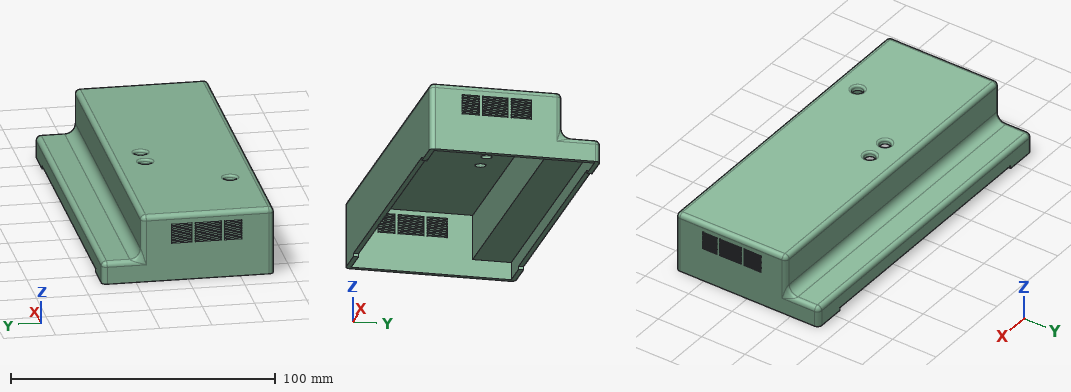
import cadquery as cq

length = 140.1
depth = 66.0
height = 26.5

ledge_depth = 15.0
ledge_height = 8.8
ledge_fillet = 4.0

edge_radius = 2.0
wall = 2.0

relief_width = 112.1
relief_height = 1.3

button_neck_diameter = 4.6
button_exit_diameter = 4.0
button_mouth_radius = 1.0
pair_x = -12.2
pair_spacing = 10.0
pair_y = 5.9
single_x = -34.7
single_y = -22.5
button_centres = [
    (pair_x, pair_y),
    (pair_x + pair_spacing, pair_y),
    (single_x, single_y),
]

slot_rows = 8
slot_height = 0.5
slot_pitch = 1.02
slot_top = height - 3.9
slot_back = 6.3
slot_gap = 1.3
slot_lengths = [7.8, 10.0, 6.6]

front_y = -depth / 2
back_y = depth / 2
step_y = back_y - ledge_depth

tolerance = 0.01


def stepped_block(inset):
    """L-shaped block, shrunk by inset on every side except the underside."""
    return (
        cq.Workplane("YZ")
        .moveTo(front_y + inset, 0)
        .lineTo(back_y - inset, 0)
        .lineTo(back_y - inset, ledge_height - inset)
        .lineTo(step_y - inset, ledge_height - inset)
        .lineTo(step_y - inset, height - inset)
        .lineTo(front_y + inset, height - inset)
        .close()
        .extrude(length / 2 - inset, both=True)
    )


def is_inner_corner(edge):
    """True for the long edge where the ledge meets the step wall."""
    middle = edge.Center() - cq.Vector(0, step_y, ledge_height)
    return middle.Length < tolerance


def outer_shell():
    """Rounded stepped block, hollowed from below."""
    block = stepped_block(0)
    block = block.edges("not <Z").filter(lambda edge: not is_inner_corner(edge)).fillet(edge_radius)
    block = block.edges().filter(is_inner_corner).fillet(ledge_fillet)
    return block.cut(stepped_block(wall))


def bottom_relief():
    """Bar that trims the bottom edge from the middle of both long walls."""
    return cq.Workplane("XY").box(relief_width, depth, relief_height, centered=(True, True, False))


def button_cutter():
    """Slightly tapered round hole through the lid, with a flared, rounded mouth."""
    neck_radius = button_neck_diameter / 2
    exit_radius = button_exit_diameter / 2
    mouth_radius = neck_radius + button_mouth_radius
    flare_bottom = height - button_mouth_radius
    return (
        cq.Workplane("XZ")
        .moveTo(0, height - wall)
        .lineTo(exit_radius, height - wall)
        .lineTo(neck_radius, flare_bottom)
        .radiusArc((mouth_radius, height), button_mouth_radius)
        .lineTo(0, height)
        .close()
        .revolve(360, (0, 0, 0), (0, 1, 0))
    )


def slot_cutter():
    """Bars running the full length, opening the slots in both ends."""
    bars = cq.Workplane("YZ")
    column_back = slot_back
    for slot_length in slot_lengths:
        for row in range(slot_rows):
            column_y = column_back - slot_length / 2
            row_z = slot_top - slot_height / 2 - row * slot_pitch
            bars = bars.moveTo(column_y, row_z).rect(slot_length, slot_height)
        column_back -= slot_length + slot_gap
    return bars.extrude(length / 2, both=True)


result = outer_shell().cut(bottom_relief()).cut(slot_cutter())
for x, y in button_centres:
    result = result.cut(button_cutter().translate((x, y, 0)))